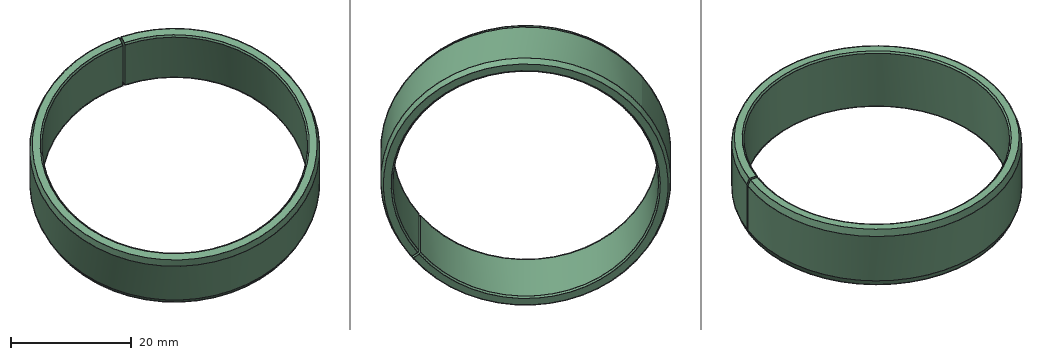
import cadquery as cq

outer_radius = 24.0
wall = 2.0
width = 12.0
inner_radius = outer_radius - wall

outer_bevel_height = 1.2
outer_bevel_depth = 0.45
inner_bevel = 0.3

split_gap = 0.4

half_width = width / 2


def ring_body():
    """Revolve the bevelled wall section around Z."""
    section = [
        (inner_radius + inner_bevel, -half_width),
        (outer_radius - outer_bevel_depth, -half_width),
        (outer_radius, -half_width + outer_bevel_height),
        (outer_radius, half_width - outer_bevel_height),
        (outer_radius - outer_bevel_depth, half_width),
        (inner_radius + inner_bevel, half_width),
        (inner_radius, half_width - inner_bevel),
        (inner_radius, -half_width + inner_bevel),
    ]
    return cq.Workplane("XZ").polyline(section).close().revolve(360, (0, 0), (0, 1))


def split_cutter():
    """Thin slab from the axis out past the wall toward -X, with one face on the XZ plane."""
    slab_length = outer_radius + wall
    slab = cq.Workplane("XY").box(slab_length, split_gap, 2 * width, centered=(False, False, True))
    return slab.translate((-slab_length, 0, 0))


result = ring_body().cut(split_cutter())